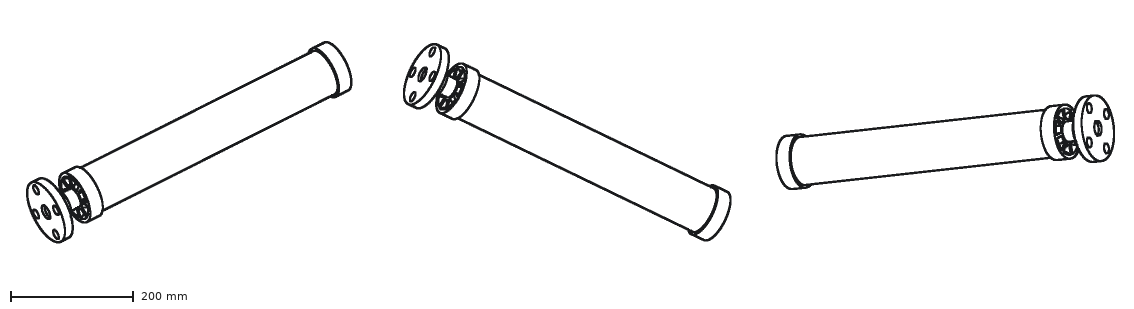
import cadquery as cq

length = 578.0
front_y = -length / 2
rear_y = length / 2

flange_diameter = 108.0
flange_thickness = 15.5
bolt_hole_diameter = 16.0
bolt_circle_diameter = 80.5
bolt_count = 4
first_bolt_angle = 45

collar_diameter = 49.0
collar_length = 18.0
neck_diameter = 33.5
neck_length = 23.5

mouth_diameter = 24.0
mouth_depth = 5.0
bore_diameter = 23.5
bore_depth = 52.0
pinhole_diameter = 2.0
pinhole_depth = 3.0

column_diameter = 79.0
front_cap_diameter = 89.0
rear_cap_diameter = 88.0
cap_length = 25.0

groove_outer_diameter = 76.0
groove_inner_diameter = 41.5
groove_depth = 15.0
rib_width = 6.0
rib_count = 8

flange_back_y = front_y + flange_thickness
collar_back_y = flange_back_y + collar_length
cap_front_y = collar_back_y + neck_length
cap_back_y = cap_front_y + cap_length
rear_cap_y = rear_y - cap_length


def rod(diameter, start_y, end_y):
    """Solid cylinder on the Y axis between two stations."""
    plane = cq.Workplane("XZ", origin=(0, start_y, 0))
    return plane.circle(diameter / 2).extrude(start_y - end_y)


def bolt_holes():
    """Through holes in the flange."""
    plane = cq.Workplane("XZ", origin=(0, front_y, 0))
    places = plane.polarArray(bolt_circle_diameter / 2, first_bolt_angle, 360, bolt_count)
    return places.circle(bolt_hole_diameter / 2).extrude(-flange_thickness)


def rib_pockets():
    """Ring groove with a V section in the front cap, divided by radial ribs."""
    groove_outer = groove_outer_diameter / 2
    groove_inner = groove_inner_diameter / 2
    groove_bottom = (groove_outer + groove_inner) / 2
    section = (
        cq.Workplane("XY")
        .moveTo(groove_inner, cap_front_y)
        .lineTo(groove_outer, cap_front_y)
        .lineTo(groove_bottom, cap_front_y + groove_depth)
        .close()
    )
    pockets = section.revolve(360, (0, 0, 0), (0, 1, 0))
    rib_step = 360 / rib_count
    rib = cq.Workplane("XY").box(groove_outer, groove_depth, rib_width, centered=(False, False, True))
    rib = rib.translate((0, cap_front_y, 0))
    for i in range(rib_count):
        pockets = pockets.cut(rib.rotate((0, 0, 0), (0, 1, 0), (i + 0.5) * rib_step))
    return pockets


result = rod(flange_diameter, front_y, flange_back_y)
result = result.union(rod(collar_diameter, flange_back_y, collar_back_y))
result = result.union(rod(neck_diameter, collar_back_y, cap_front_y))
result = result.union(rod(front_cap_diameter, cap_front_y, cap_back_y))
result = result.union(rod(column_diameter, cap_back_y, rear_cap_y))
result = result.union(rod(rear_cap_diameter, rear_cap_y, rear_y))

bore_end_y = front_y + bore_depth
result = result.cut(bolt_holes())
result = result.cut(rod(mouth_diameter, front_y, front_y + mouth_depth))
result = result.cut(rod(bore_diameter, front_y, bore_end_y))
result = result.cut(rod(pinhole_diameter, bore_end_y, bore_end_y + pinhole_depth))
result = result.cut(rib_pockets())